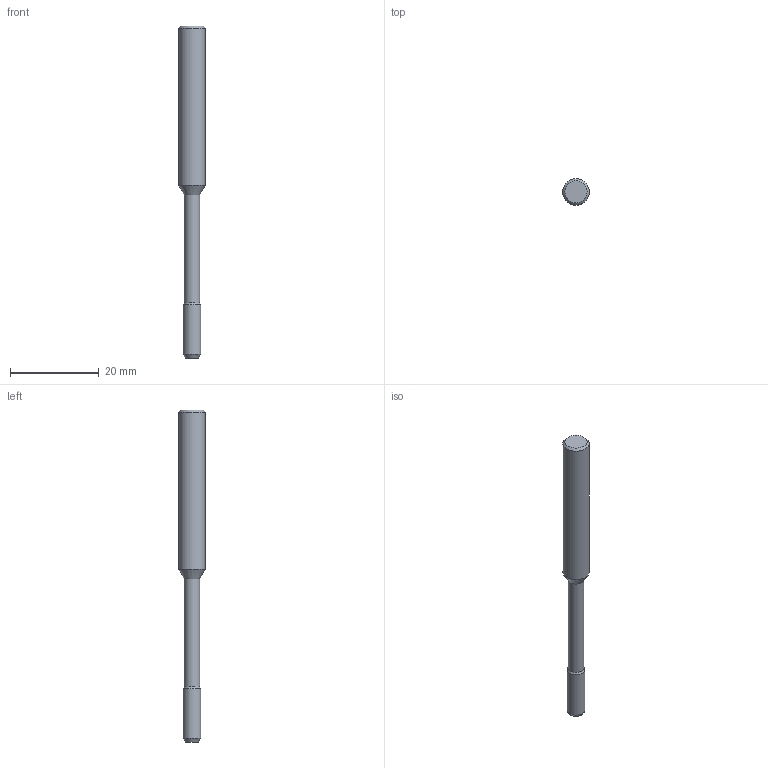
import cadquery as cq
import math

total_length = 75.0
shank_diameter = 6.0
shank_length = 36.0
shank_chamfer = 0.5
neck_diameter = 3.5
taper_angle = 30.0
head_diameter = 4.0
head_top = 12.0
tip_diameter = 3.0
tip_length = 0.8

shank_radius = shank_diameter / 2
neck_radius = neck_diameter / 2
head_radius = head_diameter / 2
tip_radius = tip_diameter / 2
shank_bottom = total_length - shank_length


def cone_height(large_radius, small_radius):
    """Axial length of a cone frustum at the taper angle."""
    return (large_radius - small_radius) / math.tan(math.radians(taper_angle))


neck_top = shank_bottom - cone_height(shank_radius, neck_radius)
neck_bottom = head_top + cone_height(head_radius, neck_radius)

half_profile = (
    cq.Workplane("XZ")
    .moveTo(0, 0)
    .lineTo(tip_radius, 0)
    .lineTo(head_radius, tip_length)
    .lineTo(head_radius, head_top)
    .lineTo(neck_radius, neck_bottom)
    .lineTo(neck_radius, neck_top)
    .lineTo(shank_radius, shank_bottom)
    .lineTo(shank_radius, total_length - shank_chamfer)
    .lineTo(shank_radius - shank_chamfer, total_length)
    .lineTo(0, total_length)
    .close()
)

result = half_profile.revolve(360, (0, 0, 0), (0, 1, 0))